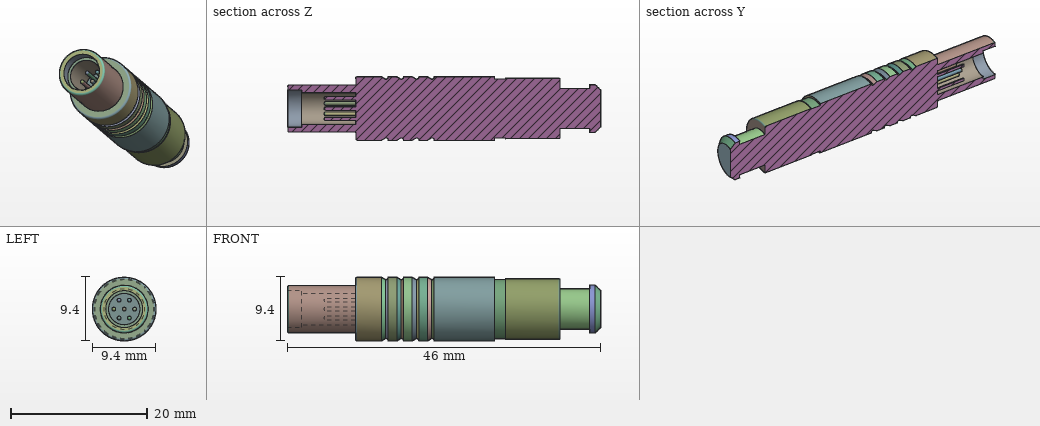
import cadquery as cq
import math

total_length = 46.0

tube_radius = 3.5
tube_rounding = 0.28

body_start = 10.0
body_end = 30.4
body_radius = 4.7
body_rounding = 0.28

groove_count = 4
groove_pitch = 2.25
first_groove_start = 13.8
groove_width = 0.95
groove_depth = 0.35

neck_radius = 4.35
nut_start = 31.95
nut_end = 40.0
nut_radius = 4.45
nut_rounding = 0.2

stem_radius = 3.0
collar_start = 44.35
collar_radius = 3.55
collar_chamfer = 0.85

mouth_radius = 2.7
mouth_depth = 2.05
bore_radius = 2.3
bore_depth = body_start

contact_circle_radius = 1.5
contact_count = 6
contact_radius = 0.28
contact_length = 4.6
contact_rounding = 0.25


def cylinder(start, end, radius):
    """Solid cylinder about the X axis from start to end."""
    return cq.Workplane("YZ").workplane(offset=start).circle(radius).extrude(end - start)


def grip_groove(start):
    """Ring cut with a sloping front wall and a concave arc rising to a square rear wall."""
    floor_radius = body_radius - groove_depth
    end = start + groove_width
    arc_start = end - groove_depth
    sag = groove_depth * math.sqrt(0.5)
    profile = (
        cq.Workplane("XY")
        .moveTo(start, body_radius)
        .lineTo(arc_start, floor_radius)
        .threePointArc((arc_start + sag, body_radius - sag), (end, body_radius))
        .close()
    )
    return profile.revolve(360, (0, 0, 0), (1, 0, 0))


def make_tube():
    tube = cylinder(0, body_start, tube_radius)
    return tube.faces("<X").edges().fillet(tube_rounding)


def make_body():
    body = cylinder(body_start, body_end, body_radius)
    body = body.faces("<X").edges().fillet(body_rounding)
    for index in range(groove_count):
        body = body.cut(grip_groove(first_groove_start + index * groove_pitch))
    return body


def make_nut():
    nut = cylinder(nut_start, nut_end, nut_radius)
    return nut.faces(">X").edges().fillet(nut_rounding)


def make_collar():
    collar = cylinder(collar_start, total_length, collar_radius)
    return collar.faces(">X").edges().chamfer(collar_chamfer)


def make_contacts():
    """Round-nosed pins on the bore floor: one in the centre and a ring around it."""
    pin = cylinder(bore_depth - contact_length, bore_depth, contact_radius)
    pin = pin.faces("<X").edges().fillet(contact_rounding)
    contacts = pin
    for index in range(contact_count):
        angle = 2 * math.pi * index / contact_count
        offset_y = contact_circle_radius * math.cos(angle)
        offset_z = contact_circle_radius * math.sin(angle)
        contacts = contacts.union(pin.translate((0, offset_y, offset_z)))
    return contacts


result = (
    make_tube()
    .union(make_body())
    .union(cylinder(body_end, nut_start, neck_radius))
    .union(make_nut())
    .union(cylinder(nut_end, collar_start, stem_radius))
    .union(make_collar())
    .cut(cylinder(0, mouth_depth, mouth_radius))
    .cut(cylinder(mouth_depth, bore_depth, bore_radius))
    .union(make_contacts())
)